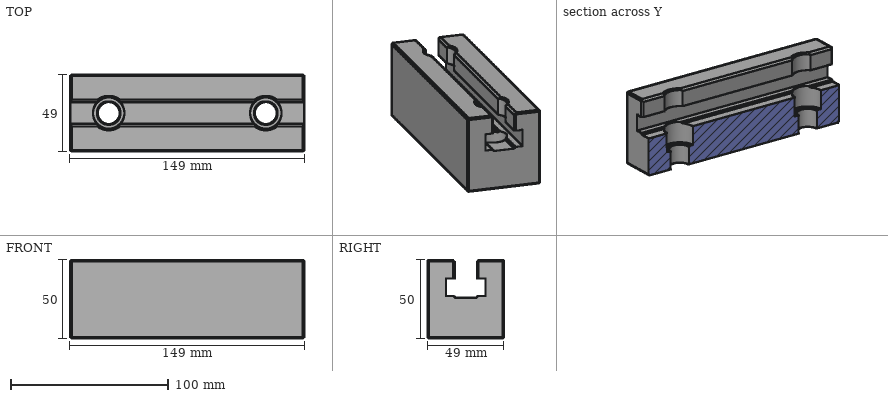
import cadquery as cq

length = 149.0
width = 49.0
height = 50.0
edge_chamfer = 1.0
neck_chamfer = 1.5

neck_width = 14.0
neck_depth = 12.0
slot_width = 25.0
slot_depth = 23.0

relief_depth = 1.0
relief_floor_width = 13.5
relief_top_width = relief_floor_width + 2 * relief_depth

hole_spacing = 100.0
hole_diameter = 14.0
counterbore_diameter = 20.0
hole_chamfer = 0.5
counterbore_depth = 13.0

neck_floor_z = height - neck_depth
slot_floor_z = height - slot_depth
relief_floor_z = slot_floor_z - relief_depth
seat_z = relief_floor_z - counterbore_depth
hole_positions = [(-hole_spacing / 2, 0), (hole_spacing / 2, 0)]


def upright_cylinders(diameter, bottom_z, top_z):
    """Cylinders at the hole positions, spanning bottom_z to top_z."""
    return (
        cq.Workplane("XY", origin=(0, 0, bottom_z))
        .pushPoints(hole_positions)
        .circle(diameter / 2)
        .extrude(top_z - bottom_z)
    )


def along_block(outline):
    """Closed (Y, Z) outline extruded over the full block length."""
    return (
        cq.Workplane("YZ", origin=(-length / 2, 0, 0))
        .polyline(outline)
        .close()
        .extrude(length)
    )


def t_slot():
    """Wide part of the T-slot, with the relief in its floor."""
    half_slot = slot_width / 2
    half_relief_top = relief_top_width / 2
    half_relief_floor = relief_floor_width / 2
    outline = [
        (-half_slot, neck_floor_z),
        (-half_slot, slot_floor_z),
        (-half_relief_top, slot_floor_z),
        (-half_relief_floor, relief_floor_z),
        (half_relief_floor, relief_floor_z),
        (half_relief_top, slot_floor_z),
        (half_slot, slot_floor_z),
        (half_slot, neck_floor_z),
    ]
    return along_block(outline)


def neck():
    """Slot neck, flared by a chamfer along its top edges."""
    half_neck = neck_width / 2
    half_mouth = half_neck + neck_chamfer
    chamfer_z = height - neck_chamfer
    outline = [
        (-half_neck, neck_floor_z),
        (-half_neck, chamfer_z),
        (-half_mouth, height),
        (half_mouth, height),
        (half_neck, chamfer_z),
        (half_neck, neck_floor_z),
    ]
    return along_block(outline)


def neck_end_chamfers():
    """Chamfers on the upright edges where the neck meets both end faces."""
    half_neck = neck_width / 2
    half_mouth = half_neck + edge_chamfer
    half_length = length / 2
    right_outline = [
        (half_length - edge_chamfer, -half_neck),
        (half_length, -half_mouth),
        (half_length, half_mouth),
        (half_length - edge_chamfer, half_neck),
    ]
    right_end = (
        cq.Workplane("XY", origin=(0, 0, neck_floor_z))
        .polyline(right_outline)
        .close()
        .extrude(neck_depth)
    )
    return right_end.union(right_end.mirror("YZ"))


def countersinks(diameter, chamfer, top_z):
    """45 degree chamfers around bores of the given diameter whose rims lie at top_z."""
    return (
        cq.Workplane("XY", origin=(0, 0, top_z))
        .pushPoints(hole_positions)
        .circle(diameter / 2 + chamfer)
        .extrude(-chamfer, taper=45)
    )


def block():
    """Plain block with all twelve edges chamfered."""
    return (
        cq.Workplane("XY")
        .box(length, width, height, centered=(True, True, False))
        .edges()
        .chamfer(edge_chamfer)
    )


result = block()
result = result.cut(neck()).cut(neck_end_chamfers()).cut(t_slot())
result = result.cut(upright_cylinders(counterbore_diameter, seat_z, height))
result = result.cut(countersinks(counterbore_diameter, edge_chamfer, height))
result = result.cut(upright_cylinders(hole_diameter, 0, seat_z))
result = result.cut(countersinks(hole_diameter, hole_chamfer, seat_z))